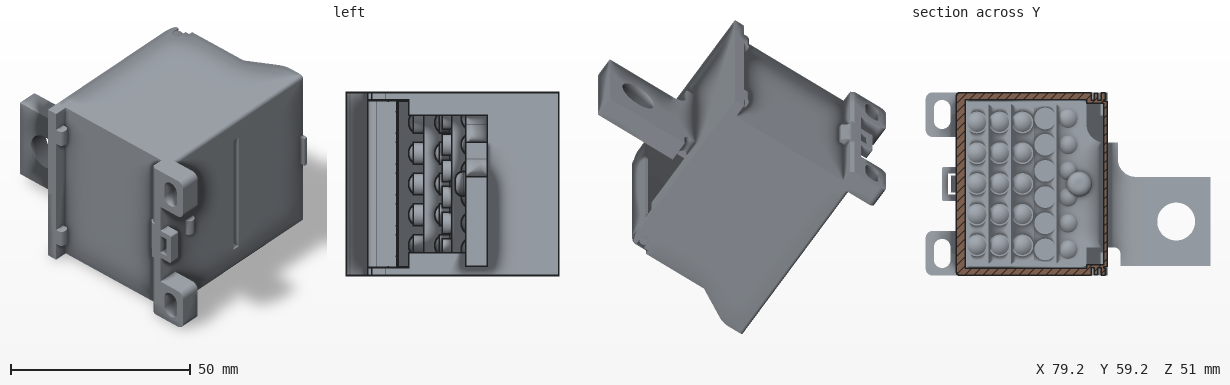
import cadquery as cq
import math

length = 79.2
depth = 59.2
height = 51.0
mid_z = height / 2

front_x = 28.6
back_x = 70.7
back_edge_radius = 1.1
roof_y = 53.2
ramp_start_x = 53.8
ramp_angle = 30.0
ramp_radius = 7.1
cover_corner_radius = 2.45
cover_wall = 1.0
side_wall = 2.1
front_wall = 2.0
back_wall = 2.6
cavity_floor_y = 19.9

recess_x0 = 31.6
recess_x1 = 67.55
recess_y = 3.95
foot_y = 6.1

window_z0 = 6.4
window_z1 = height - window_z0
window_y1 = 41.8
flap_y0 = 45.15
flap_gap = 0.2

hinge_x = 31.75
hinge_y = 50.05
pin_radius = 1.4
throat_width = 2.6
pin_recess = 0.15
ear_y0 = 47.5
hinge_notch_x = 34.45
hinge_notch_y = 52.0
wall_curve_y = 48.2
wall_curve_x = 29.5

foot_width = 12.4
foot_radius = 2.0
slot_x = 74.6
slot_width = 4.6
slot_length = 8.1
slot_end_gap = 2.1

lug_x = 74.7
lug_width = 9.4
lug_depth = 3.0
lug_radius = 0.5
lug_hole_length = 2.3
lug_hole_width = 5.9
bump_x = 70.6
bump_y = 11.95
bump_radius = 1.6
bump_width = 4.75
back_tab_x = 72.2
back_tab_depth = 1.1

hook_height = 2.9
front_hook_x = 33.7
front_hook_width = 4.8
front_hook_spacing = 35.0
front_hook_radius = 1.1
back_hook_x = 65.5
back_hook_tip_y = 2.05
back_hook_root_y = 0.5
lead_in_length = 1.0
lead_in_depth = 0.6
lead_in_break = 11.9

bar_y1 = 25.9
tongue_z0 = 2.6
tongue_z1 = 27.5
tongue_hole_x = 9.5
tongue_hole_diameter = 10.5
neck_x = 25.75
neck_z1 = 37.1
bar_fillet = 5.0
riser_x = 34.45
notch_x = 25.0
notch_z1 = 7.85
notch_fillet = 1.75

block_gap = 0.4
steps = [(42.8, 29.8), (49.1, 30.3), (55.45, 37.6), (61.8, 44.7)]
block_face_x = steps[0][0]
wire_slot_x0 = steps[2][0]
wire_slot_y0 = steps[1][1]
wire_slot_y1 = 32.5

head_radius = 3.0
dome_height = 1.3
dome_radius = 2.6
head_height = 4.2
head_sink = 0.8
rear_pitch = 8.55
rear_count = 5
front_pitch = 7.3
front_count = 6
bar_screw_radius = 3.5
bar_screw_height = 2.9
bar_screw_fillet = 2.2
bar_screw_x = 36.4
bar_row_x = 39.6


def box(x0, x1, y0, y1, z0, z1):
    return cq.Workplane("XY").box(x1 - x0, y1 - y0, z1 - z0, centered=False).translate((x0, y0, z0))


def box_mid(x0, x1, y0, y1, width, center_z=mid_z):
    return box(x0, x1, y0, y1, center_z - width / 2, center_z + width / 2)


def side_profile(inset, y0, x0, x1, z0, z1):
    """Housing outline seen along Z, with the cover surface moved inward by `inset`."""
    slope = math.radians(ramp_angle)
    roof = roof_y - inset
    top = depth - inset
    corner = cover_corner_radius - inset
    radius = ramp_radius - inset
    foot_x = ramp_start_x + inset * math.tan(slope / 2)
    arc_start_y = top - radius * (1 - math.cos(slope))
    arc_start_x = foot_x + (arc_start_y - roof) / math.tan(slope)
    arc_end_x = arc_start_x + radius * math.sin(slope)
    half = slope / 2
    arc_mid = (arc_end_x - radius * math.sin(half), top - radius * (1 - math.cos(half)))
    return (
        cq.Workplane("XY").workplane(offset=z0)
        .moveTo(x0, y0)
        .lineTo(x0, roof - corner)
        .radiusArc((x0 + corner, roof), corner)
        .lineTo(foot_x, roof)
        .lineTo(arc_start_x, arc_start_y)
        .threePointArc(arc_mid, (arc_end_x, top))
        .lineTo(x1, top)
        .lineTo(x1, y0)
        .close()
        .extrude(z1 - z0)
    )


def make_housing():
    shell = side_profile(0, 0, front_x, back_x, 0, height)
    shell = shell.edges("|Y and >X").fillet(back_edge_radius)
    cavity = side_profile(cover_wall, cavity_floor_y, front_x + cover_wall, back_x - back_wall,
                          side_wall, height - side_wall)
    wall = box(front_x, front_x + front_wall, 0, window_y1, 0, height)
    window = box(front_x, front_x + front_wall, cavity_floor_y, window_y1, window_z0, window_z1)
    body = shell.cut(cavity).union(wall).cut(window)
    flap_opening = box(front_x, front_x + cover_wall, window_y1, flap_y0, side_wall, height - side_wall)
    body = body.cut(flap_opening)
    recess = box(recess_x0, recess_x1, 0, recess_y, 0, height)
    return body.cut(recess)


def make_upper_hinge():
    """Return what the upper side wall loses at its hinge corner, and what the cover adds there."""
    wall_z = height - side_wall
    lean = (
        cq.Workplane("XY").workplane(offset=wall_z)
        .moveTo(front_x, wall_curve_y)
        .threePointArc(((3 * front_x + wall_curve_x) / 4, (wall_curve_y + hinge_notch_y) / 2),
                       (wall_curve_x, hinge_notch_y))
        .lineTo(hinge_x - throat_width / 2, hinge_notch_y)
        .lineTo(hinge_x - throat_width / 2, hinge_y)
        .lineTo(hinge_x + throat_width / 2, hinge_y)
        .lineTo(hinge_x + throat_width / 2, hinge_notch_y)
        .lineTo(hinge_notch_x, hinge_notch_y)
        .lineTo(hinge_notch_x, roof_y)
        .lineTo(front_x, roof_y)
        .close()
        .extrude(side_wall)
    )
    socket = (
        cq.Workplane("XY").workplane(offset=wall_z)
        .center(hinge_x, hinge_y).circle(pin_radius).extrude(side_wall)
    )
    gap = box(front_x, front_x + cover_wall, flap_y0, roof_y, wall_z - flap_gap, wall_z)
    ear = box(front_x + cover_wall, hinge_notch_x, ear_y0, roof_y - cover_wall, wall_z - cover_wall, wall_z)
    pin = (
        cq.Workplane("XY").workplane(offset=wall_z - cover_wall)
        .center(hinge_x, hinge_y).circle(pin_radius).extrude(cover_wall + side_wall - pin_recess)
    )
    return lean.union(socket).union(gap), ear.union(pin)


def add_hinges(body):
    removed, added = make_upper_hinge()
    body = body.cut(removed).union(added)
    mid_plane = (0, 0, mid_z)
    return body.cut(removed.mirror("XY", mid_plane)).union(added.mirror("XY", mid_plane))


def make_foot(center_z):
    foot = box_mid(recess_x1, length, 0, foot_y, foot_width, center_z)
    return foot.edges("|Y and >X").fillet(foot_radius)


def slot_cutter(center_z):
    cutter = cq.Workplane("XZ").center(slot_x, center_z).slot2D(slot_length, slot_width, 90)
    return cutter.extrude(-foot_y)


def add_feet(body):
    body = body.union(box(recess_x1, back_x, 0, foot_y, 0, height))
    for side in (-1, 1):
        body = body.union(make_foot(mid_z + side * (height - foot_width) / 2))
        slot_z = mid_z + side * (height / 2 - slot_end_gap - slot_length / 2)
        body = body.cut(slot_cutter(slot_z))
    lead_in = (
        cq.Workplane("XY")
        .polyline([(recess_x1, 0), (recess_x1 + lead_in_length, 0), (recess_x1, lead_in_depth)])
        .close().extrude(height)
        .cut(box_mid(recess_x1, back_x, 0, foot_y, lead_in_break))
    )
    return body.cut(lead_in)


def add_latch(body):
    lug = box_mid(back_x, lug_x, 0, lug_depth, lug_width).edges("|Y and >X").fillet(lug_radius)
    lug = lug.cut(box_mid(back_x, back_x + lug_hole_length, 0, lug_depth, lug_hole_width))
    bump = (
        cq.Workplane("XY").workplane(offset=mid_z - bump_width / 2)
        .center(bump_x, bump_y).circle(bump_radius).extrude(bump_width)
    )
    tab = box_mid(back_x - back_edge_radius, back_tab_x, depth - back_tab_depth, depth, lug_width)
    return body.union(lug).union(bump).union(tab)


def add_hooks(body):
    for side in (-1, 1):
        center_z = mid_z + side * front_hook_spacing / 2
        hook = box_mid(recess_x0, front_hook_x, 0, hook_height, front_hook_width, center_z)
        body = body.union(hook.edges("|Z and >X").fillet(front_hook_radius))
    back_hook = (
        cq.Workplane("XY").workplane(offset=mid_z - lug_width / 2)
        .polyline([(recess_x1, hook_height), (back_hook_x, hook_height),
                   (back_hook_x, back_hook_tip_y), (recess_x1, back_hook_root_y)])
        .close().extrude(lug_width)
    )
    return body.union(back_hook)


def make_busbar():
    top_z = height - side_wall - block_gap
    outline = (
        cq.Workplane("XZ", origin=(0, cavity_floor_y, 0))
        .moveTo(0, tongue_z0)
        .lineTo(0, tongue_z1)
        .lineTo(neck_x - bar_fillet, tongue_z1)
        .radiusArc((neck_x, tongue_z1 + bar_fillet), -bar_fillet)
        .lineTo(neck_x, neck_z1)
        .lineTo(riser_x - bar_fillet, neck_z1)
        .radiusArc((riser_x, neck_z1 + bar_fillet), -bar_fillet)
        .lineTo(riser_x, top_z)
        .lineTo(block_face_x, top_z)
        .lineTo(block_face_x, tongue_z0)
        .lineTo(riser_x, tongue_z0)
        .lineTo(riser_x, notch_z1)
        .lineTo(notch_x + notch_fillet, notch_z1)
        .radiusArc((notch_x, notch_z1 - notch_fillet), -notch_fillet)
        .lineTo(notch_x, tongue_z0)
        .close()
        .extrude(cavity_floor_y - bar_y1)
    )
    hole = (
        cq.Workplane("XZ", origin=(0, cavity_floor_y, 0))
        .center(tongue_hole_x, (tongue_z0 + tongue_z1) / 2)
        .circle(tongue_hole_diameter / 2).extrude(cavity_floor_y - bar_y1)
    )
    return outline.cut(hole)


def make_block():
    block = cq.Workplane("XY")
    width = height - 2 * (side_wall + block_gap)
    for face_x, tread_y in steps:
        block = block.union(box_mid(face_x, back_x - back_wall, cavity_floor_y, tread_y, width))
    return block


def screw_head(x, z, base_y, top_y, dome):
    """Screw head on a Y axis; a dome of zero height gives a flat head."""
    shoulder_y = top_y - dome
    profile = cq.Workplane("XY").moveTo(0, base_y).lineTo(head_radius, base_y).lineTo(head_radius, shoulder_y)
    if dome:
        ball = (dome_radius ** 2 + dome ** 2) / (2 * dome)
        profile = profile.lineTo(dome_radius, shoulder_y).radiusArc((0, top_y), -ball)
    else:
        profile = profile.lineTo(0, top_y)
    return profile.close().revolve(360, (0, 0, 0), (0, 1, 0)).translate((x, 0, z))


def add_screw_row(body, x, base_y, top_y, pitch, count, dome):
    for i in range(count):
        z = mid_z + (i - (count - 1) / 2) * pitch
        body = body.union(screw_head(x, z, base_y, top_y, dome))
    return body


def add_screws(body):
    half_step = (steps[1][0] - block_face_x) / 2
    row_x = [face_x + half_step for face_x, tread_y in steps]
    tread = [tread_y for face_x, tread_y in steps]
    body = add_screw_row(body, bar_row_x, bar_y1 - head_sink, bar_y1 + dome_height,
                         front_pitch, front_count, dome_height)
    body = add_screw_row(body, row_x[0], tread[0] - head_sink, wire_slot_y1, front_pitch, front_count, 0)
    for x, y in zip(row_x[1:], tread[1:]):
        body = add_screw_row(body, x, y - head_sink, y + head_height, rear_pitch, rear_count, dome_height)
    bar_screw = (
        cq.Workplane("XZ", origin=(bar_screw_x, bar_y1, mid_z))
        .circle(bar_screw_radius).extrude(-bar_screw_height)
        .edges(">Y").fillet(bar_screw_fillet)
    )
    return body.union(bar_screw)


housing = make_housing()
housing = add_hinges(housing)
housing = add_hooks(add_latch(add_feet(housing)))
body = housing.union(make_busbar()).union(make_block())
wire_slot = box(wire_slot_x0, back_x, wire_slot_y0, wire_slot_y1, window_z0, window_z1)
result = add_screws(body.cut(wire_slot))